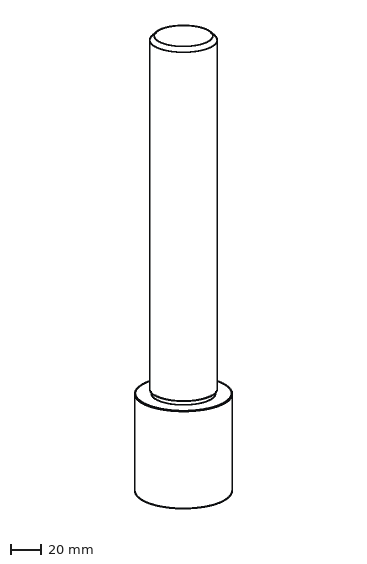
import cadquery as cq

total_length = 325.0
head_diameter = 65.0
head_height = 70.0
shank_diameter = 45.0

head_chamfer = 0.5
tip_chamfer = 3.0
relief_depth = 1.0
relief_width = 3.0

shank_length = total_length - head_height


def make_head():
    """Cylindrical head standing on Z = 0, both rims chamfered."""
    head = cq.Workplane("XY").circle(head_diameter / 2).extrude(head_height)
    return head.faces("<Z or >Z").chamfer(head_chamfer)


def make_shank():
    """Cylindrical shank above the head, with a chamfered tip."""
    shank = (
        cq.Workplane("XY")
        .workplane(offset=head_height)
        .circle(shank_diameter / 2)
        .extrude(shank_length)
    )
    return shank.faces(">Z").chamfer(tip_chamfer)


def make_relief():
    """Ring removed from the shank where it meets the head."""
    return (
        cq.Workplane("XY")
        .workplane(offset=head_height)
        .circle(shank_diameter / 2)
        .circle(shank_diameter / 2 - relief_depth)
        .extrude(relief_width)
    )


result = make_head().union(make_shank().cut(make_relief()))